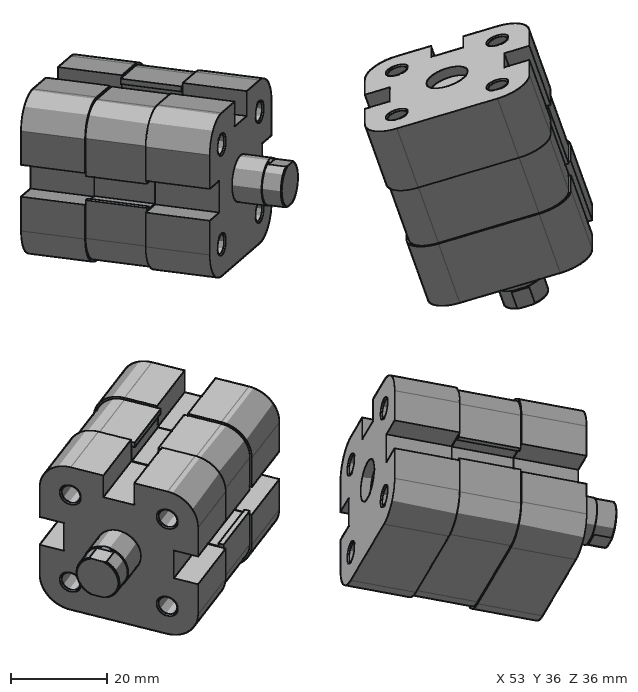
import cadquery as cq

total_length = 53.0
cover_length = 14.25
barrel_length = 13.5
body_length = 2 * cover_length + barrel_length
rod_length = total_length - body_length

cover_side = 36.0
cover_corner_radius = 7.0
barrel_inset = 0.5
barrel_side = cover_side - 2 * barrel_inset
barrel_corner_radius = cover_corner_radius - barrel_inset

slot_angles = (0, 90, -90)
cover_slot_width = 7.0
cover_slot_floor = 12.5
slot_wall_step = 0.2
barrel_slot_width = cover_slot_width - 2 * slot_wall_step
barrel_slot_floor = cover_slot_floor + slot_wall_step
barrel_slot_mouth_width = 5.3
lip_height = 1.15
lip_underside = barrel_side / 2 - lip_height

bolt_spacing = 22.0
bolt_hole_diameter = 4.2
bolt_hole_chamfer = 0.3
bolt_hole_chamfer_angle = 90.0

recess_diameter = 9.0
recess_depth = 2.1

rod_diameter = 10.05
tip_diameter = 9.8
shank_length = 6.5
shoulder_width = (rod_diameter - tip_diameter) / 2
tip_chamfer = 0.2
flat_distance = 9.0
flat_start = 6.95


def square_bar(start_x, length, side, corner_radius):
    """Bar along X with a rounded square section."""
    return (
        cq.Workplane("YZ", origin=(start_x, 0, 0))
        .rect(side, side)
        .extrude(length)
        .edges("|X")
        .fillet(corner_radius)
    )


def drill_bolt_holes(bar, face):
    """Drill the four bolt holes through a bar, starting from one end face."""
    return (
        bar.faces(face)
        .workplane(origin=(0, 0, 0))
        .rect(bolt_spacing, bolt_spacing, forConstruction=True)
        .vertices()
        .hole(bolt_hole_diameter)
    )


def chamfer_bolt_holes(cover, face):
    """Widen the mouths of the bolt holes in one end face of a cover."""
    return (
        cover.faces(face)
        .workplane(origin=(0, 0, 0))
        .rect(bolt_spacing, bolt_spacing, forConstruction=True)
        .vertices()
        .cskHole(bolt_hole_diameter, bolt_hole_diameter + 2 * bolt_hole_chamfer, bolt_hole_chamfer_angle)
    )


def cut_slots(bar, width, floor, top):
    """Cut a full-length groove from floor to top height into each slotted side."""
    groove = cq.Workplane("XY", origin=(0, 0, floor)).rect(2 * total_length, width).extrude(top - floor)
    for angle in slot_angles:
        bar = bar.cut(groove.rotate((0, 0, 0), (1, 0, 0), angle))
    return bar


def make_cover(start_x, outer_face):
    """End cover with plain slots and bolt holes chamfered on its outer face."""
    cover = square_bar(start_x, cover_length, cover_side, cover_corner_radius)
    cover = cut_slots(cover, cover_slot_width, cover_slot_floor, cover_side)
    return chamfer_bolt_holes(cover, outer_face)


def make_rear_cover():
    """Cover at the closed end, with the centring recess in its outer face."""
    cover = make_cover(0, "<X")
    recess = cq.Workplane("YZ").circle(recess_diameter / 2).extrude(recess_depth)
    return cover.cut(recess)


def make_barrel():
    """Middle profile whose slots are narrowed by lips at the mouth."""
    barrel = square_bar(cover_length, barrel_length, barrel_side, barrel_corner_radius)
    barrel = cut_slots(barrel, barrel_slot_width, barrel_slot_floor, lip_underside)
    barrel = cut_slots(barrel, barrel_slot_mouth_width, lip_underside, barrel_side)
    return drill_bolt_holes(barrel, "<X")


def make_rod():
    """Piston rod standing on the front cover, with a stepped and flatted tip."""
    rod_radius = rod_diameter / 2
    tip_radius = tip_diameter / 2
    rod = (
        cq.Workplane("XY", origin=(body_length, 0, 0))
        .lineTo(0, rod_radius)
        .lineTo(shank_length, rod_radius)
        .lineTo(shank_length + shoulder_width, tip_radius)
        .lineTo(rod_length - tip_chamfer, tip_radius)
        .lineTo(rod_length, tip_radius - tip_chamfer)
        .lineTo(rod_length, 0)
        .close()
        .revolve(360, (0, 0, 0), (1, 0, 0))
    )
    flat_height = flat_distance / 2
    flat_cutter = (
        cq.Workplane("XZ", origin=(body_length, 0, 0))
        .moveTo(flat_start, flat_height)
        .lineTo(rod_length, flat_height)
        .lineTo(rod_length, flat_height + rod_radius)
        .lineTo(flat_start - rod_radius, flat_height + rod_radius)
        .close()
        .extrude(rod_radius, both=True)
    )
    return rod.cut(flat_cutter).cut(flat_cutter.mirror("XY"))


rear_cover = make_rear_cover()
barrel = make_barrel()
front_cover = make_cover(cover_length + barrel_length, ">X")
rod = make_rod()

result = cq.Compound.makeCompound([rear_cover.val(), barrel.val(), front_cover.val(), rod.val()])